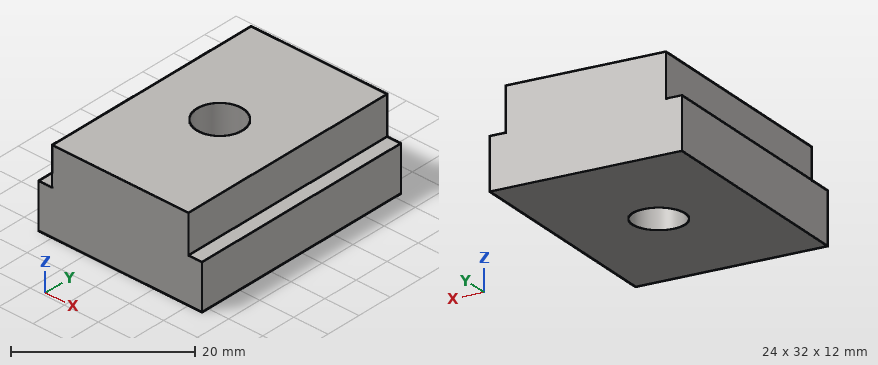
import cadquery as cq

length = 32.0
base_width = 24.0
total_height = 12.0

neck_width = 20.0
base_height = 6.5
neck_height = total_height - base_height

hole_diameter = 6.6

base = cq.Workplane("XY").box(base_width, length, base_height, centered=(True, True, False))

neck = (
    cq.Workplane("XY", origin=(0, 0, base_height))
    .box(neck_width, length, neck_height, centered=(True, True, False))
)

result = base.union(neck).faces(">Z").workplane(centerOption="CenterOfBoundBox").hole(hole_diameter)